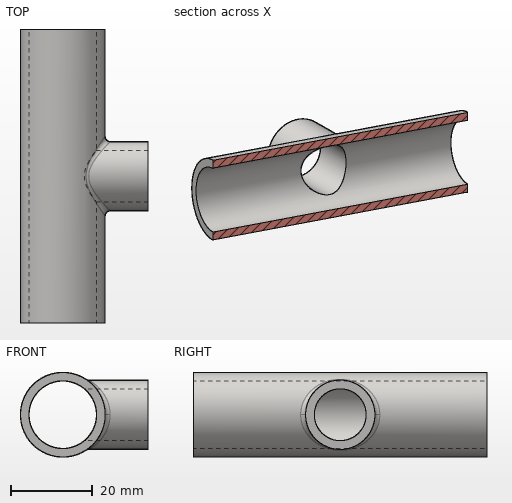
import cadquery as cq

run_length = 72.0
run_outer_diameter = 20.8
run_bore_diameter = 16.5

branch_reach = 20.9
branch_outer_diameter = 17.0
wall_thickness = (run_outer_diameter - run_bore_diameter) / 2
branch_bore_diameter = branch_outer_diameter - 2 * wall_thickness
joint_fillet_radius = 1.2


def run_cylinder(diameter):
    """Full-length cylinder on the axis of the run."""
    return cq.Workplane("XZ").circle(diameter / 2).extrude(run_length / 2, both=True)


def branch_cylinder(diameter):
    """Cylinder from the axis of the run out to the end of the branch."""
    return cq.Workplane("YZ").circle(diameter / 2).extrude(branch_reach)


def outer_body():
    """Run and branch joined, with a fillet around the saddle joint."""
    body = run_cylinder(run_outer_diameter).union(branch_cylinder(branch_outer_diameter))
    joint_reach = run_outer_diameter / 2
    joint_edges = cq.selectors.BoxSelector(
        (0, -joint_reach, -joint_reach),
        (joint_reach, joint_reach, joint_reach),
    )
    return body.edges(joint_edges).fillet(joint_fillet_radius)


run_bore = run_cylinder(run_bore_diameter)
branch_bore = branch_cylinder(branch_bore_diameter)
result = outer_body().cut(run_bore).cut(branch_bore)